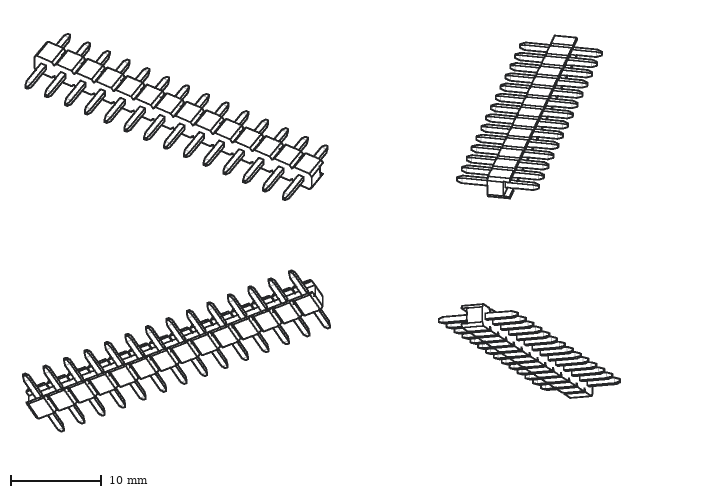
import cadquery as cq

PIN_COUNT = 14
ROW_LENGTH = 35.55
PITCH = ROW_LENGTH / PIN_COUNT
HOUSING_HEIGHT = 2.5
HOUSING_DEPTH = 2.5
CHAMFER_WIDTH = 0.3
CHAMFER_HEIGHT = 0.4

CHANNEL_DEPTH = 0.68
LIP_THICKNESS = 0.35

PIN_LENGTH = 9.2
PIN_WIDTH = 0.65
PIN_FRONT_REACH = 3.7
PIN_SIDE_OFFSET = -0.1
TIP_LENGTH = 0.57
TIP_WIDTH = 0.32

CELL_CENTRES = [(i - (PIN_COUNT - 1) / 2) * PITCH for i in range(PIN_COUNT)]


def make_housing():
    """Extrude the scalloped front outline and cut the back channel."""
    half_pitch = PITCH / 2
    half_height = HOUSING_HEIGHT / 2
    half_flat = half_pitch - CHAMFER_WIDTH
    shoulder = half_height - CHAMFER_HEIGHT

    top_edge = [(-ROW_LENGTH / 2, shoulder)]
    for x in CELL_CENTRES:
        top_edge.append((x - half_flat, half_height))
        top_edge.append((x + half_flat, half_height))
        top_edge.append((x + half_pitch, shoulder))
    bottom_edge = [(x, -z) for x, z in reversed(top_edge)]

    body = cq.Workplane("XZ").polyline(top_edge + bottom_edge).close().extrude(-HOUSING_DEPTH)
    channel = (
        cq.Workplane("XY")
        .box(ROW_LENGTH, CHANNEL_DEPTH, HOUSING_HEIGHT - 2 * LIP_THICKNESS)
        .translate((0, HOUSING_DEPTH - CHANNEL_DEPTH / 2, 0))
    )
    return body.cut(channel)


def make_pin():
    """Square pin along Y, tapered at both ends."""
    shank_length = PIN_LENGTH - 2 * TIP_LENGTH
    shank_start = TIP_LENGTH - PIN_FRONT_REACH
    shank = (
        cq.Workplane("XZ", origin=(0, shank_start, 0))
        .rect(PIN_WIDTH, PIN_WIDTH)
        .extrude(-shank_length)
    )
    front_tip = (
        cq.Workplane("XZ", origin=(0, shank_start, 0))
        .rect(PIN_WIDTH, PIN_WIDTH)
        .workplane(offset=TIP_LENGTH)
        .rect(TIP_WIDTH, TIP_WIDTH)
        .loft(combine=True)
    )
    pin_middle = shank_start + shank_length / 2
    back_tip = front_tip.mirror("XZ", (0, pin_middle, 0))
    return shank.union(front_tip).union(back_tip)


result = make_housing()
pin = make_pin()
for x in CELL_CENTRES:
    result = result.union(pin.translate((x + PIN_SIDE_OFFSET, 0, 0)))